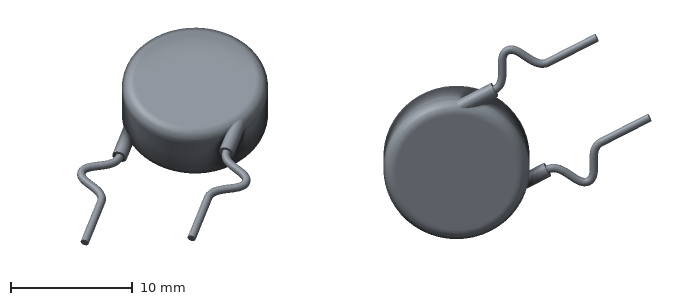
import cadquery as cq

disc_radius = 6.0
disc_height = 5.5
rim_fillet = 1.0

sleeve_radius = 0.62
sleeve_length = 3.2
lead_offset = 4.6
lead_inset = 0.77
sleeve_end_y = -disc_radius

overall_length = 21.5
overall_width = 14.84
wire_radius = 0.35
kink_length = 5.0
crest_x = overall_width / 2 - wire_radius
crest_y = sleeve_end_y - kink_length / 2
kink_end_y = sleeve_end_y - kink_length
wire_end_y = disc_radius - overall_length
inner_handle = 1.42
crest_handle = 1.1

lead_places = [(-1, lead_inset), (1, disc_height - lead_inset)]


def rod_along_y(x, start_y, z, radius, length):
    """Round rod that runs from start_y toward -Y."""
    return cq.Workplane("XZ", origin=(x, start_y, z)).circle(radius).extrude(length)


def make_housing():
    housing = cq.Workplane("XY").circle(disc_radius).extrude(disc_height)
    housing = housing.faces("<Z or >Z").edges().fillet(rim_fillet)
    for side, height in lead_places:
        sleeve_start_y = sleeve_end_y + sleeve_length
        sleeve = rod_along_y(side * lead_offset, sleeve_start_y, height, sleeve_radius, sleeve_length)
        housing = housing.union(sleeve)
    return housing


def make_lead(side, height):
    """Wire that starts on the sleeve end, kinks outward and runs straight to its tip."""
    inner_x = side * lead_offset
    outer_x = side * crest_x
    path = (
        cq.Workplane("XY", origin=(0, 0, height))
        .moveTo(inner_x, sleeve_end_y)
        .bezier([
            (inner_x, sleeve_end_y),
            (inner_x, sleeve_end_y - inner_handle),
            (outer_x, crest_y + crest_handle),
            (outer_x, crest_y),
        ])
        .bezier([
            (outer_x, crest_y),
            (outer_x, crest_y - crest_handle),
            (inner_x, kink_end_y + inner_handle),
            (inner_x, kink_end_y),
        ])
    )
    section = cq.Workplane("XZ", origin=(inner_x, sleeve_end_y, height)).circle(wire_radius)
    kink = section.sweep(path)
    tip = rod_along_y(inner_x, kink_end_y, height, wire_radius, kink_end_y - wire_end_y)
    return kink.union(tip)


housing = make_housing()
leads = [make_lead(side, height) for side, height in lead_places]

result = cq.Compound.makeCompound([housing.val(), *[lead.val() for lead in leads]])